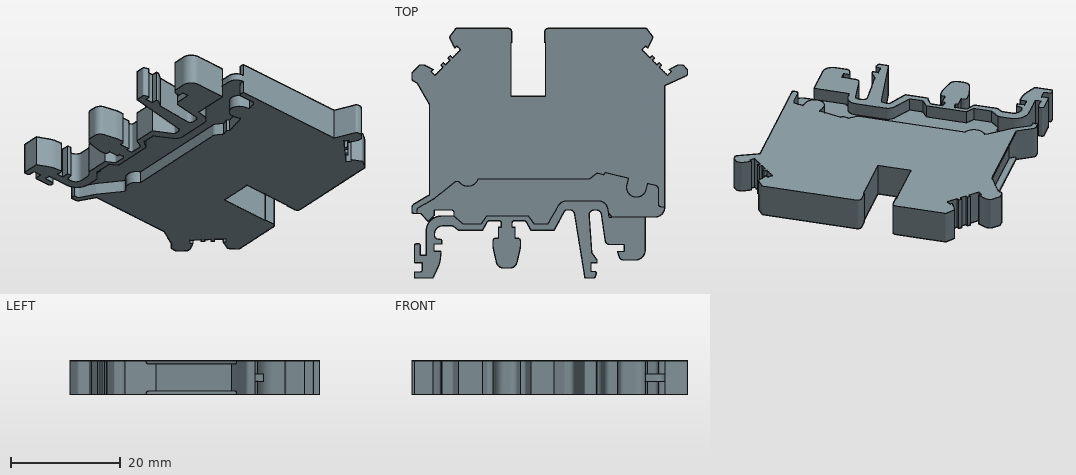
import cadquery as cq
import math


length = 50.3
height = 45.6
thickness = 6.2
web_thickness = 1.4

body_left = 3.2
body_right = 46.16
seat_axis = 25.42
ledge_y = 18.05
wall_end_y = 13.0
wall_inner_x = 44.97
ear_top = 38.9

slot_axis = 21.22
slot_width = 6.26
slot_floor = 33.2
slot_lip = 0.15
slot_lip_y = 43.0
slot_corner_radius = 0.75

seat_length = 6.6
seat_centre = (6.53, 39.33)
seat_depth = 0.95
seat_lip = 0.55
seat_angle = 45
rib_offset = 0.9
rib_width = 0.65
rib_height = 0.55

round_boss_centre = (10.2, 18.75)
round_boss_diameter = 4
tongue_centre = (40.97, 16.57)
tongue_width = 3.6
tongue_tilt = 14
tongue_reach = 2.2

pocket_depth = 1.05
pocket_skin = 0.65
skin_round = 0.35
flank_foot_y = 31.65
flank_top = (0.95, 35.55)
flap_bottom = 11.78
flap_inner_x = 0.95
flap_corner_y = 15.2
pocket_end_rise = 0.86

foot_top = 11.33
beam_underside = 8.7
beam_low_top = 9.88
arch_top = 14.1
bay_top = 10.45
slot_roof = 12.38
plunger_axis = 17.3
web_bottom = 11.1


def unit(a, b):
    """Unit vector from point a to point b."""
    dist = math.dist(a[:2], b[:2])
    return (b[0] - a[0]) / dist, (b[1] - a[1]) / dist


def rounded_prism(points, depth):
    """Prism centred on Z = 0. A third value in a point rounds that corner."""
    path = None
    count = len(points)
    for i, corner in enumerate(points):
        x, y = corner[:2]
        steps = [(x, y)]
        if len(corner) == 3:
            to_prev = unit(corner, points[i - 1])
            to_next = unit(corner, points[(i + 1) % count])
            cosine = to_prev[0] * to_next[0] + to_prev[1] * to_next[1]
            half = math.acos(cosine) / 2
            setback = corner[2] / math.tan(half)
            to_arc = corner[2] / math.sin(half) - corner[2]
            bisector = unit((0, 0), (to_prev[0] + to_next[0], to_prev[1] + to_next[1]))
            start = (x + setback * to_prev[0], y + setback * to_prev[1])
            middle = (x + to_arc * bisector[0], y + to_arc * bisector[1])
            end = (x + setback * to_next[0], y + setback * to_next[1])
            steps = [start, middle, end]
        if path is None:
            path = cq.Workplane("XY").moveTo(*steps[0])
        else:
            path = path.lineTo(*steps[0])
        if len(steps) == 3:
            path = path.threePointArc(steps[1], steps[2])
    return path.close().extrude(depth / 2, both=True)


def mirrored(points, axis):
    """Points mirrored about the vertical line X = axis, in reverse order."""
    return [(2 * axis - p[0], *p[1:]) for p in reversed(points)]


def seat_point(along, out):
    """Point of the left seat: distance along its floor and outwards from it."""
    c = math.cos(math.radians(seat_angle))
    s = math.sin(math.radians(seat_angle))
    return seat_centre[0] + along * c - out * s, seat_centre[1] + along * s + out * c


def marker_seat():
    """Left seat from its lower lip to its upper lip."""
    half = seat_length / 2
    lip = half - seat_lip
    points = [seat_point(-lip, seat_depth), seat_point(-half, seat_depth), seat_point(-half, 0)]
    for centre in (-rib_offset, rib_offset):
        left = centre - rib_width / 2
        right = centre + rib_width / 2
        points += [seat_point(left, 0), seat_point(left, rib_height)]
        points += [seat_point(right, rib_height), seat_point(right, 0)]
    return points + [seat_point(half, 0), seat_point(half, seat_depth), seat_point(lip, seat_depth)]


def top_shoulder():
    """Chamfered left shoulder above the marker seat."""
    return [(6.8, 43.95, 0.5), (8.05, height, 0.3)]


def slot_side():
    """Left side of the slot, from the top edge down to the slot floor."""
    wall = slot_axis - slot_width / 2
    return [
        (wall + slot_lip, height, slot_corner_radius),
        (wall + slot_lip, slot_lip_y),
        (wall, slot_lip_y),
        (wall, slot_floor),
    ]


def body():
    """Full-thickness upper body."""
    left_ear = [flank_top, (0, 36.1, 0.5), (0, 37.45, 0.3), (1.4, ear_top, 0.4), (2.25, ear_top, 0.5)]
    left_half = left_ear + marker_seat() + top_shoulder()
    right_half = mirrored(marker_seat() + top_shoulder(), seat_axis)
    right_ear = [(48.55, ear_top, 0.5), (49.5, ear_top, 0.4), (length, 38.0, 0.3), (length, 37.0, 0.5)]
    right_wall = [
        (body_right, 35.1),
        (body_right, wall_end_y),
        (wall_inner_x, wall_end_y, 0.5),
        (wall_inner_x, 16.8, 0.7),
        (43.0, 17.25),
    ]
    stepped_edge = [
        (42.6, ledge_y),
        (39.62, 18.2),
        (35.3, 19.25),
        (34.95, 18.85),
        (33.75, 19.15),
        (32.4, ledge_y, 0.8),
        (9.5, ledge_y, 0.3),
        (8.9, 17.65, 0.3),
        (8.0, 17.65, 0.7),
    ]
    flap = [
        (4.0, 14.45, 0.6),
        (flap_inner_x, 12.7, 0.4),
        (flap_inner_x, flap_bottom),
        (0, flap_bottom, 0.3),
        (0, 13.3, 0.8),
        (body_left, flap_corner_y),
        (body_left, flank_foot_y),
    ]
    outline = left_half + slot_side() + mirrored(slot_side(), slot_axis) + right_half
    outline += right_ear + right_wall + stepped_edge + flap
    return rounded_prism(outline, thickness)


def bosses():
    """Round boss and tilted round-ended tongue on the lower body edge."""
    radius = round_boss_diameter / 2
    round_boss = cq.Workplane("XY").center(*round_boss_centre).circle(radius)
    round_boss = round_boss.extrude(thickness / 2, both=True)
    half = tongue_width / 2
    tongue = cq.Workplane("XY").moveTo(-half, 0).threePointArc((0, -half), (half, 0))
    tongue = tongue.lineTo(half, tongue_reach).lineTo(-half, tongue_reach).close()
    tongue = tongue.extrude(thickness / 2, both=True)
    tongue = tongue.rotate((0, 0, 0), (0, 0, 1), -tongue_tilt).translate((*tongue_centre, 0))
    return round_boss.union(tongue)


def side_pocket():
    """Space cut from the left side wall, flaring at its mouth to round the skin edges."""
    floor_x = body_left + pocket_depth
    flank_slope = (flank_foot_y - flank_top[1]) / (body_left - flank_top[0])
    outline = [
        (body_left, flap_corner_y),
        (floor_x, flap_corner_y + pocket_end_rise),
        (floor_x, flank_foot_y + flank_slope * pocket_depth),
        (body_left, flank_foot_y),
    ]
    pocket_z = thickness / 2 - pocket_skin
    mouth_z = pocket_z + skin_round
    inner_x = body_left + skin_round
    arc_inset = skin_round * math.cos(math.radians(45))
    arc_x = inner_x - arc_inset
    arc_z = mouth_z - arc_inset
    section = cq.Workplane("XZ", origin=(0, flap_corner_y, 0)).moveTo(body_left, -mouth_z)
    section = section.threePointArc((arc_x, -arc_z), (inner_x, -pocket_z)).lineTo(floor_x, -pocket_z)
    section = section.lineTo(floor_x, pocket_z).lineTo(inner_x, pocket_z)
    section = section.threePointArc((arc_x, arc_z), (body_left, mouth_z)).close()
    channel = section.extrude(flap_corner_y - flank_foot_y)
    return rounded_prism(outline, thickness).intersect(channel)


def body_with_pocket():
    """Body with its bosses and with the side pocket cut."""
    return body().union(bosses()).cut(side_pocket())


def web():
    """Thin web between the body and the foot; its hidden borders lie inside them."""
    beam_middle = (beam_underside + beam_low_top) / 2
    bay_middle = (bay_top + foot_top) / 2
    arch_middle = (slot_roof + arch_top) / 2
    outline = [
        (0.5, flap_bottom),
        (1.6, flap_bottom),
        (2.95, 10.3),
        (4.1, 11.45),
        (4.1, slot_roof),
        (7.65, slot_roof, 0.35),
        (7.65, foot_top),
        (8.8, beam_middle),
        (13.0, beam_middle),
        (14.1, bay_middle),
        (20.9, bay_middle),
        (22.0, beam_middle),
        (25.4, beam_middle),
        (28.0, arch_middle),
        (34.8, arch_middle),
        (36.5, web_bottom),
        (body_right, web_bottom, 1.85),
        (body_right, ledge_y),
        (38.0, 20.0),
        (8.0, 20.0),
        (4.6, 15.3),
        (0.5, 12.5),
    ]
    return rounded_prism(outline, web_thickness)


def left_clip():
    """Underside of the left end: curved hook and clip, from right to left."""
    outer_x = 0.45
    slot_x = 1.85
    stem_left = 2.58
    stem_right = 4.05
    tooth_x = 5.45
    return [
        (8.5, beam_underside),
        (7.5, 9.5, 0.5),
        (4.15, 9.5, 1.4),
        (4.15, 7.2, 0.6),
        (tooth_x, 7.05, 0.25),
        (tooth_x, 6.2),
        (stem_right, 6.2),
        (stem_right, 4.9),
        (5.35, 4.9, 0.2),
        (5.15, 2.8, 4.0),
        (3.85, 0),
        (outer_x, 0, 0.2),
        (outer_x, 1.15, 0.2),
        (slot_x, 1.15, 0.25),
        (slot_x, 2.75),
        (outer_x, 2.75, 0.2),
        (outer_x, 6.3, 0.4),
        (1.55, 6.3, 0.4),
        (1.55, 4.2),
        (stem_left, 4.2),
        (stem_left, foot_top, 2.78),
    ]


def plunger():
    """Bay and right half of the plunger, then the same mirrored to the left."""
    neck = 1.0
    stem = 1.52
    head = 2.52
    tip = 1.65
    stem_top = 9.28
    head_top = 7.3
    tip_y = 1.8
    right_half = [
        (21.7, beam_underside),
        (20.75, bay_top, 0.5),
        (plunger_axis + neck, bay_top, 0.4),
        (plunger_axis + neck, stem_top),
        (plunger_axis + stem, stem_top),
        (plunger_axis + stem, head_top),
        (plunger_axis + head, head_top, 0.55),
        (plunger_axis + head, 5.6, 3.0),
        (plunger_axis + tip, tip_y, 1.4),
    ]
    return right_half + mirrored(right_half, plunger_axis)


def spring_leg():
    """Slanted leg with its toothed end, from right to left."""
    tooth_x = 33.8
    notch_x = 32.72
    notch_top = 2.75
    notch_bottom = 1.2
    return [
        (34.45, slot_roof, 0.85),
        (32.3, slot_roof, 0.8),
        (32.85, 4.6),
        (tooth_x, 3.3, 0.3),
        (tooth_x, notch_top),
        (notch_x, notch_top),
        (notch_x, notch_bottom),
        (tooth_x, notch_bottom, 0.3),
        (33.4, 0, 0.3),
        (31.55, 0, 0.15),
        (29.55, slot_roof, 0.7),
        (27.95, slot_roof, 0.3),
        (25.95, beam_underside),
    ]


def right_clip():
    """Fixed right clip, from the beam down and back up to the gap."""
    right_x = 42.6
    bottom = 3.25
    jaw_x = 38.72
    jaw_bottom = 4.85
    return [
        (right_x, web_bottom),
        (right_x, bottom, 1.9),
        (38.0, bottom, 0.9),
        (37.5, jaw_bottom),
        (jaw_x, jaw_bottom),
        (jaw_x, 6.08),
        (35.35, 6.12, 0.85),
    ]


def beam_top():
    """Upper edge of the foot, from left to right."""
    return [
        (7.65, foot_top),
        (9.3, beam_low_top),
        (12.65, beam_low_top),
        (13.65, foot_top),
        (21.25, foot_top),
        (22.3, beam_low_top),
        (24.8, beam_low_top),
        (27.25, arch_top, 1.8),
        (35.5, arch_top, 1.8),
        (36.0, web_bottom),
    ]


def foot():
    """Full-thickness rail foot."""
    outline = beam_top() + right_clip() + spring_leg() + plunger() + left_clip()
    return rounded_prism(outline, thickness)


result = body_with_pocket().union(web()).union(foot())